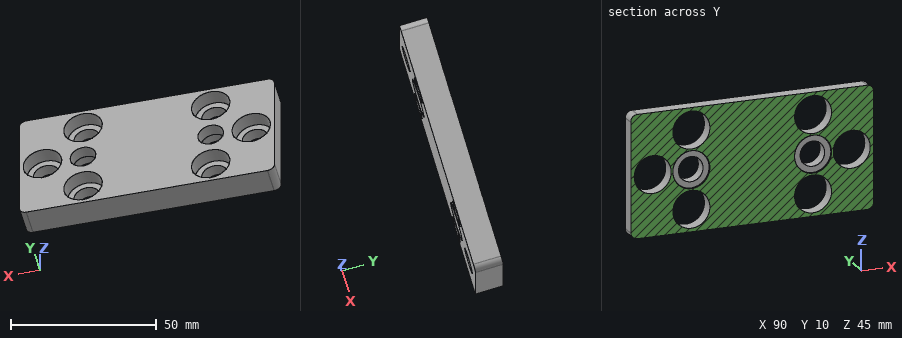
import cadquery as cq

plate_length = 90.0
plate_thickness = 10.0
plate_height = 45.0
corner_radius = 2.5

group_offset = plate_length / 4
satellite_distance = 14.3
hole_diameter = 9.0
counterbore_diameter = 13.5
counterbore_depth = 5.5

front_y = -plate_thickness / 2
back_y = plate_thickness / 2


def cylinder_along_y(x, z, start_y, diameter, depth):
    """Cylinder running along +Y from start_y."""
    base = cq.Vector(x, start_y, z)
    return cq.Workplane(cq.Solid.makeCylinder(diameter / 2, depth, base, cq.Vector(0, 1, 0)))


def cut_counterbored_hole(body, x, z, counterbore_start_y):
    """Cut a through hole and its counterbore, which runs along +Y from counterbore_start_y."""
    body = body.cut(cylinder_along_y(x, z, front_y, hole_diameter, plate_thickness))
    return body.cut(cylinder_along_y(x, z, counterbore_start_y, counterbore_diameter, counterbore_depth))


def cut_hole_group(body, side):
    """Cut one hole group; side is -1 for the left group and +1 for the right."""
    centre_x = side * group_offset
    body = cut_counterbored_hole(body, centre_x, 0, front_y)
    satellite_positions = [
        (centre_x, satellite_distance),
        (centre_x, -satellite_distance),
        (centre_x + side * satellite_distance, 0),
    ]
    for x, z in satellite_positions:
        body = cut_counterbored_hole(body, x, z, back_y - counterbore_depth)
    return body


plate = cq.Workplane("XY").box(plate_length, plate_thickness, plate_height)
plate = plate.edges("|Y").fillet(corner_radius)

for group_side in (-1, 1):
    plate = cut_hole_group(plate, group_side)

result = plate